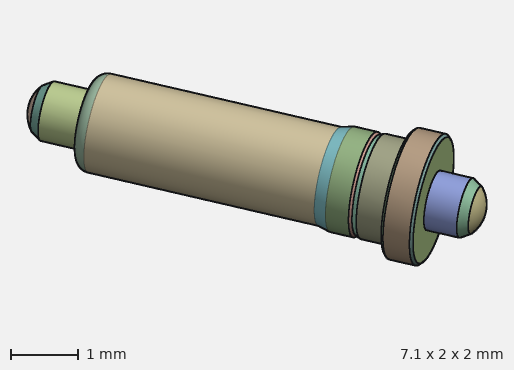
import cadquery as cq
import math

total_length = 7.1
cap_height = 0.14
shoulder_end = 0.29
barrel_start = 0.9
taper_start = 4.685
taper_end = 4.88
groove_start = 5.24
groove_bottom = 5.28
groove_end = 5.36
flange_start = 5.8
flange_end = 6.3

pin_radius = 0.455
cap_rim_radius = 0.36
barrel_radius = 0.75
collar_radius = 0.8
groove_radius = 0.77
flange_radius = 1.0

barrel_fillet = 0.2
flange_chamfer = 0.04

mid_x = total_length / 2


def revolve_about_x(profile):
    return profile.close().revolve(360, (0, 0, 0), (1, 0, 0))


def make_pin():
    """Full-length pin with a conical shoulder and a spherical cap at each end."""
    cap_radius = (cap_rim_radius**2 + cap_height**2) / (2 * cap_height)
    middle_angle = math.asin(cap_rim_radius / cap_radius) / 2
    cap_middle = (
        cap_radius * (1 - math.cos(middle_angle)),
        cap_radius * math.sin(middle_angle),
    )
    half_profile = (
        cq.Workplane("XY")
        .moveTo(0, 0)
        .threePointArc(cap_middle, (cap_height, cap_rim_radius))
        .lineTo(shoulder_end, pin_radius)
        .lineTo(mid_x, pin_radius)
        .lineTo(mid_x, 0)
    )
    half_pin = revolve_about_x(half_profile)
    return half_pin.union(half_pin.mirror("YZ", (mid_x, 0, 0)))


def make_barrel():
    """Barrel with a rounded mouth, flaring into a collar with a shallow V groove."""
    profile = (
        cq.Workplane("XY")
        .moveTo(barrel_start, 0)
        .lineTo(barrel_start, barrel_radius - barrel_fillet)
        .radiusArc((barrel_start + barrel_fillet, barrel_radius), barrel_fillet)
        .lineTo(taper_start, barrel_radius)
        .lineTo(taper_end, collar_radius)
        .lineTo(groove_start, collar_radius)
        .lineTo(groove_bottom, groove_radius)
        .lineTo(groove_end, collar_radius)
        .lineTo(flange_start, collar_radius)
        .lineTo(flange_start, 0)
    )
    return revolve_about_x(profile)


def make_flange():
    """Flange disc with both rims chamfered."""
    return (
        cq.Workplane("YZ", origin=(flange_start, 0, 0))
        .circle(flange_radius)
        .extrude(flange_end - flange_start)
        .edges()
        .chamfer(flange_chamfer)
    )


result = make_pin().union(make_barrel()).union(make_flange())